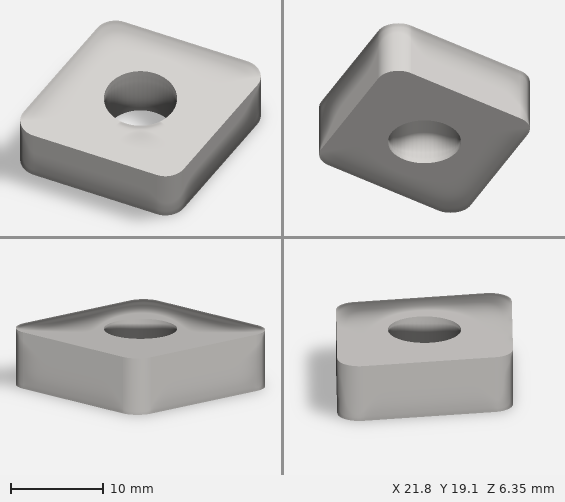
import cadquery as cq
import math

inscribed_circle = 19.05
thickness = 6.35
acute_angle = math.radians(80)
corner_radius = 2.38
hole_diameter = 7.92

side = inscribed_circle / math.sin(acute_angle)
half_height = inscribed_circle / 2
half_lean = side * math.cos(acute_angle) / 2


def rhombic_body():
    """Rhombus centred on the Z axis, leaning toward +X, with rounded corners."""
    corners = [
        (-side / 2 - half_lean, -half_height),
        (side / 2 - half_lean, -half_height),
        (side / 2 + half_lean, half_height),
        (-side / 2 + half_lean, half_height),
    ]
    body = cq.Workplane("XY").polyline(corners).close().extrude(thickness)
    return body.edges("|Z").fillet(corner_radius)


def cut_clamping_hole(body):
    """Cut the central hole through the full thickness."""
    return body.faces(">Z").workplane(origin=(0, 0, thickness)).hole(hole_diameter)


result = cut_clamping_hole(rhombic_body())